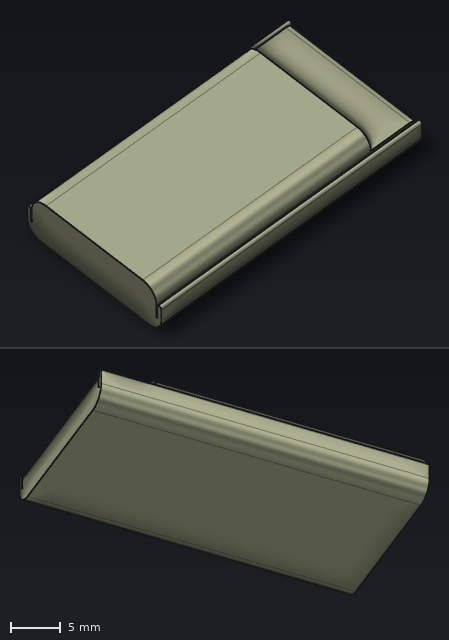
import cadquery as cq

length = 36.5
width = 19.5
height = 6.0

corner_radius = 2.0
rail_top = 3.98
rail_thickness = 0.6
slot_width = 0.15
slot_bottom = 2.0
base_top = 2.2

shelf_length = 6.45
shelf_edge_radius = 1.0

body_width = width - 2 * (rail_thickness + slot_width)


def block(size_x, size_y, bottom, top):
    """Box centred in X, starting at Y = 0, between two heights."""
    return (
        cq.Workplane("XY", origin=(0, 0, bottom))
        .rect(size_x, size_y)
        .extrude(top - bottom)
        .translate((0, size_y / 2, 0))
    )


def make_base():
    """Full-width lower part with rounded bottom edges."""
    return block(width, length, 0, base_top).edges("|Y and <Z").fillet(corner_radius)


def make_rail(side):
    """Thin side wall with a full-round top, on side -1 or +1."""
    half_thickness = rail_thickness / 2
    rail = (
        cq.Workplane("XZ")
        .moveTo(-half_thickness, slot_bottom)
        .lineTo(-half_thickness, rail_top - half_thickness)
        .threePointArc((0, rail_top), (half_thickness, rail_top - half_thickness))
        .lineTo(half_thickness, slot_bottom)
        .close()
        .extrude(-length)
    )
    return rail.translate((side * (width - rail_thickness) / 2, 0, 0))


def make_slot(side):
    """Clearance between the side wall and the body."""
    slot = block(slot_width, length, slot_bottom, height)
    return slot.translate((side * (body_width + slot_width) / 2, 0, 0))


def make_shelf():
    """Low body section running the full length, rounded at the rear edge."""
    shelf = block(body_width, length, slot_bottom, rail_top)
    return shelf.edges(">Y and >Z").fillet(shelf_edge_radius)


def make_upper_body():
    """Raised body with rounded long edges, ending at the shelf."""
    upper = block(body_width, length - shelf_length, slot_bottom, height)
    return upper.edges("|Y and >Z").fillet(corner_radius)


base = make_base()
result = base.union(make_shelf()).union(make_upper_body())
for side in (-1, 1):
    result = result.union(make_rail(side)).cut(make_slot(side))